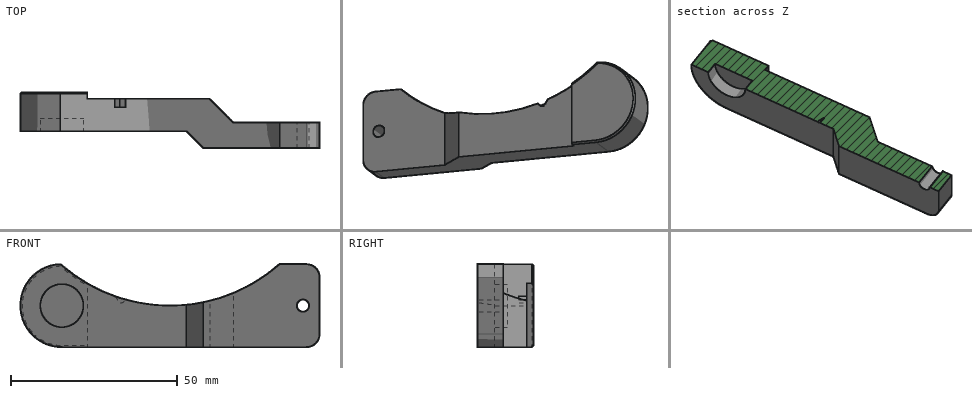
import cadquery as cq
import math

length = 90.0
depth = 16.8
height = 25.0

pivot_radius = height / 2
pivot_x = pivot_radius
pivot_z = pivot_radius
recess_radius = 6.5
recess_depth = 4.0
pad_length = 20.2
pad_thickness = 2.0
pad_chamfer = 0.5

front_offset = 5.0
front_bend_x = 49.95
back_bend_x = 56.9
tail_thickness = 7.7
arm_back = depth - pad_thickness
back_offset = arm_back - tail_thickness

hollow_start_x = 12.1
hollow_end_x = 77.9
hollow_depth = 12.5
hollow_x = (hollow_start_x + hollow_end_x) / 2

corner_radius = 4.05
pin_hole_radius = 1.8
pin_hole_x = 85.0

notch_left_x = 28.4
notch_bottom_x = 29.9
notch_right_x = 31.7
notch_bottom_z = 13.3
notch_floor_radius = 2.25
notch_depth = 2.5


def extrude_along_y(sketch, start, end):
    """Extrude an XZ sketch drawn at the origin from y = start to y = end."""
    return sketch.extrude(start - end).translate((0, start, 0))


def side_outline():
    pivot_top_z = pivot_z + math.sqrt(pivot_radius**2 - (hollow_start_x - pivot_x) ** 2)
    return (
        cq.Workplane("XZ")
        .moveTo(pivot_x, 0)
        .lineTo(length - corner_radius, 0)
        .radiusArc((length, corner_radius), -corner_radius)
        .lineTo(length, height - corner_radius)
        .radiusArc((length - corner_radius, height), -corner_radius)
        .lineTo(hollow_end_x, height)
        .threePointArc((hollow_x, height - hollow_depth), (hollow_start_x, pivot_top_z))
        .threePointArc((0, pivot_z), (pivot_x, 0))
        .close()
    )


def offset_arm():
    """Side outline trimmed to the stepped plan shape."""
    plan = (
        cq.Workplane("XY")
        .moveTo(0, front_offset)
        .lineTo(front_bend_x, front_offset)
        .lineTo(front_bend_x + front_offset, 0)
        .lineTo(length, 0)
        .lineTo(length, tail_thickness)
        .lineTo(back_bend_x + back_offset, tail_thickness)
        .lineTo(back_bend_x, arm_back)
        .lineTo(0, arm_back)
        .close()
        .extrude(height)
    )
    return extrude_along_y(side_outline(), 0, depth).intersect(plan)


def pivot_pad():
    """Raised pad behind the pivot, chamfered around its outline but not at its straight end."""
    block = extrude_along_y(side_outline(), front_offset, depth)
    block = block.faces(">Y").chamfer(pad_chamfer)
    limit = cq.Workplane("XY").box(pad_length, depth, height, centered=False)
    return block.intersect(limit)


def round_cut(x, radius, start, end):
    circle = cq.Workplane("XZ").center(x, pivot_z).circle(radius)
    return extrude_along_y(circle, start, end)


def hollow_z(x):
    """Height of the concave upper edge at x."""
    half_chord = (hollow_end_x - hollow_start_x) / 2
    radius = (half_chord**2 + hollow_depth**2) / (2 * hollow_depth)
    centre_z = height - hollow_depth + radius
    return centre_z - math.sqrt(radius**2 - (x - hollow_x) ** 2)


def notch():
    """Notch whose floor curves up from its lowest line to the right lip."""
    outline = (
        cq.Workplane("XZ")
        .moveTo(notch_left_x, height)
        .lineTo(notch_left_x, hollow_z(notch_left_x))
        .lineTo(notch_bottom_x, notch_bottom_z)
        .radiusArc((notch_right_x, hollow_z(notch_right_x)), -notch_floor_radius)
        .lineTo(notch_right_x, height)
        .close()
    )
    return extrude_along_y(outline, arm_back - notch_depth, arm_back)


result = (
    offset_arm()
    .union(pivot_pad())
    .cut(round_cut(pivot_x, recess_radius, front_offset, front_offset + recess_depth))
    .cut(round_cut(pin_hole_x, pin_hole_radius, 0, tail_thickness))
    .cut(notch())
)